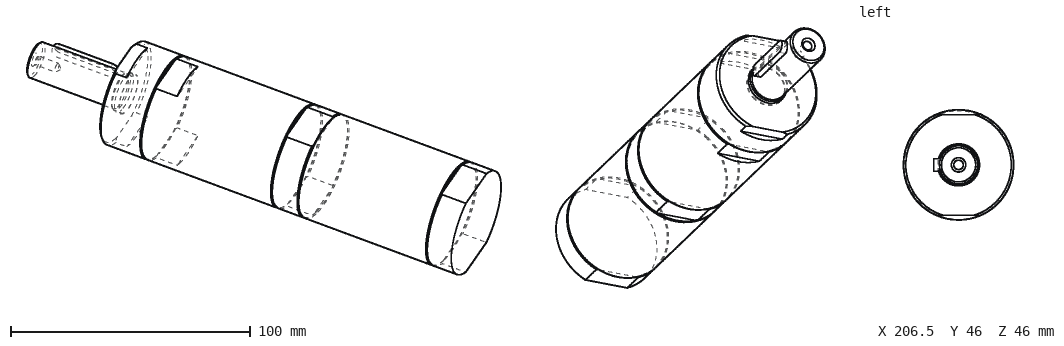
import cadquery as cq

total_length = 206.5
body_diameter = 46.0
body_start = 41.7
front_chamfer = 1.0

across_flats = 42.0
front_flat_end = 48.0
second_flat_end = 71.5
middle_flat_start = 122.5
middle_flat_end = 134.8

front_joint = 61.3
rear_joint = 195.0
joint_depth = 0.5

shaft_diameter = 16.0
shaft_chamfer = 0.8
collar_diameter = 17.0
collar_start = 39.9
collar_chamfer = 0.6
bore_diameter = 17.5
bore_depth = 2.0

centre_hole_diameter = 4.0
countersink_diameter = 6.0
centre_hole_depth = 10.3

key_width = 5.2
key_length = 30.0
key_start = 4.0
key_top = 10.3
key_bottom = 5.4


def revolve_about_axis(points):
    """Revolve a closed (x, radius) outline about the X axis."""
    return cq.Workplane("XY").polyline(points).close().revolve(360, (0, 0, 0), (1, 0, 0))


def make_body():
    body = cq.Workplane("YZ", origin=(body_start, 0, 0)).circle(body_diameter / 2)
    body = body.extrude(total_length - body_start)
    return body.faces("<X").chamfer(front_chamfer)


def joint_groove(x):
    radius = body_diameter / 2
    return revolve_about_axis([
        (x - joint_depth, radius),
        (x, radius - joint_depth),
        (x + joint_depth, radius),
    ])


def flat_pair(start, end):
    """Material removed above and below the axis between two X stations."""
    length = end - start
    envelope = cq.Workplane("XY").box(length, body_diameter, 2 * body_diameter)
    core = cq.Workplane("XY").box(length, body_diameter, across_flats)
    return envelope.cut(core).translate(((start + end) / 2, 0, 0))


def clearance_bore():
    bore = cq.Workplane("YZ", origin=(body_start, 0, 0)).circle(bore_diameter / 2)
    return bore.extrude(bore_depth)


def make_shaft():
    shaft = cq.Workplane("YZ").circle(shaft_diameter / 2).extrude(body_start + bore_depth)
    shaft = shaft.faces("<X").chamfer(shaft_chamfer)
    collar_length = body_start + bore_depth - collar_start
    collar = cq.Workplane("YZ", origin=(collar_start, 0, 0)).circle(collar_diameter / 2)
    collar = collar.extrude(collar_length)
    collar = collar.faces("<X").chamfer(collar_chamfer, (collar_diameter - shaft_diameter) / 2)
    return shaft.union(collar)


def centre_hole():
    hole_radius = centre_hole_diameter / 2
    countersink_radius = countersink_diameter / 2
    return revolve_about_axis([
        (0, 0),
        (0, countersink_radius),
        (countersink_radius - hole_radius, hole_radius),
        (centre_hole_depth, hole_radius),
        (centre_hole_depth + hole_radius, 0),
    ])


def make_key():
    key = cq.Workplane("XZ", origin=(key_start + key_length / 2, key_bottom, 0))
    return key.slot2D(key_length, key_width).extrude(key_bottom - key_top)


body = make_body()
flat_spans = [
    (body_start, front_flat_end),
    (front_joint, second_flat_end),
    (middle_flat_start, middle_flat_end),
    (rear_joint, total_length),
]
for start, end in flat_spans:
    body = body.cut(flat_pair(start, end))
for joint in (front_joint, middle_flat_start, middle_flat_end, rear_joint):
    body = body.cut(joint_groove(joint))
body = body.cut(clearance_bore())

shaft = make_shaft().union(make_key()).cut(centre_hole())
result = body.union(shaft)